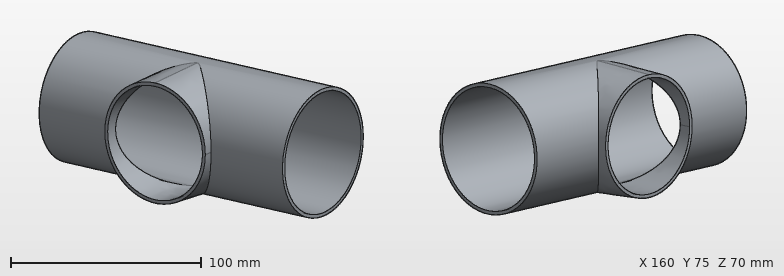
import cadquery as cq

run_length = 160.0
run_diameter = 70.0
branch_diameter = 66.0
branch_reach = 40.0
wall = 2.0

run_radius = run_diameter / 2
branch_radius = branch_diameter / 2


def run_cylinder(radius):
    """Full-length cylinder along X, centred on the origin."""
    return cq.Workplane("YZ").circle(radius).extrude(run_length / 2, both=True)


def branch_body(inset):
    """Loft from an ellipse as tall as the run, on its axis, to the round branch end."""
    end_radius = branch_radius - inset
    root_height = run_radius - inset
    return (
        cq.Workplane("XZ")
        .ellipse(end_radius, root_height)
        .workplane(offset=branch_reach)
        .ellipse(end_radius, end_radius)
        .loft(ruled=True)
    )


outside = run_cylinder(run_radius).union(branch_body(0))
result = outside.cut(run_cylinder(run_radius - wall)).cut(branch_body(wall))